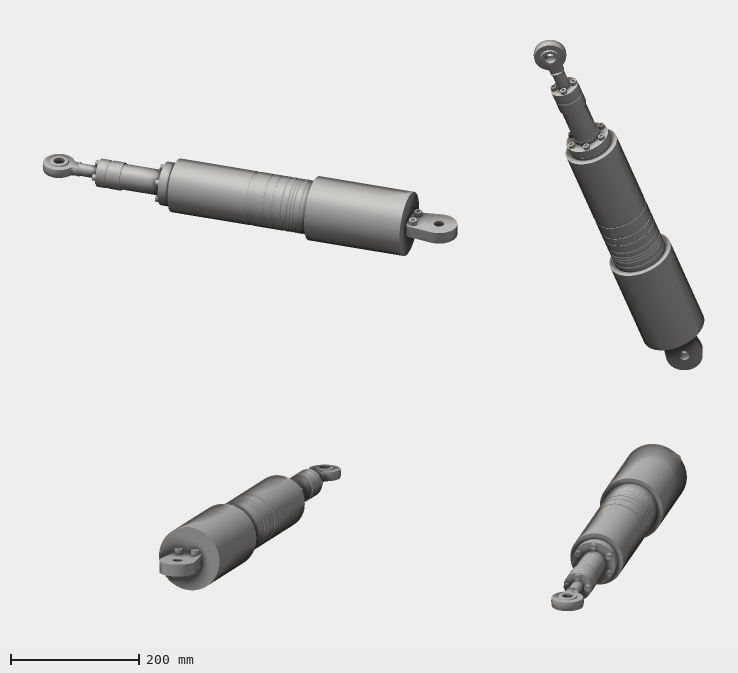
import cadquery as cq
import math


eye_radius = 25.535
eye_thickness = 14.3
neck_radius = 11.4
neck_flats_end = 32.3
neck_fillet = 6.5
neck_end = 34.0
rod_radius = 9.9
rod_tip = 110.0

ball_radius = 17.0
ball_width = 19.05
ball_bore_radius = 9.0

sleeve_front = 66.3
sleeve_end = 105.3
sleeve_radius = 22.225
sleeve_groove_center = 83.8
sleeve_groove_width = 5.0
sleeve_groove_floor = 2.0
tube_radius = 20.2
wiper_front = 164.3
wiper_end = 168.6
wiper_radius = 20.7

flange_front = 172.4
flange_end = 187.4
flange_radius = 34.6
flange_chamfer = 1.2
flange_neck_radius = 33.6

cylinder_front = 191.2
cylinder_radius = 42.5
cover_front = 417.4
cover_end = 573.5
cover_radius = 50.8

groove_depth = 0.7
band_center = 321.6
band_width = 8.0
slot_centers = (347.0, 361.3)
slot_width = 2.2
vee_centers = (376.6, 386.8, 391.9, 397.0, 407.2)
vee_width = 4.1

small_head_radius = 5.0
small_head_height = 6.0
small_socket_flats = 5.0
large_head_radius = 6.3
large_head_height = 8.0
large_socket_flats = 6.0
sleeve_screw_count = 4
sleeve_screw_circle = 16.3
flange_screw_count = 6
flange_screw_circle = 28.5

pin_spacing = 622.3
lug_radius = 28.575
lug_thickness = 19.05
lug_root_half_width = 21.75
lug_corner_radius = 7.3
lug_screw_x = 584.0
lug_screw_y = 13.5
bushing_radius = 14.5
bushing_bore_radius = 8.3


def x_cylinder(start, end, radius):
    """Cylinder on the actuator axis between two X positions."""
    return cq.Workplane("YZ").workplane(offset=start).circle(radius).extrude(end - start)


def cap_screw_head(radius, height, socket_flats):
    """Head standing on the XY plane with a hexagon socket half its height deep."""
    socket_corners = socket_flats / math.cos(math.pi / 6)
    return (
        cq.Workplane("XY").circle(radius).extrude(height)
        .faces(">Z").workplane().polygon(6, socket_corners).cutBlind(-height / 2)
    )


def screw_heads(face_x, circle_radius, count):
    """Small heads standing on a face that looks toward -X, with the first head at the top."""
    head = cap_screw_head(small_head_radius, small_head_height, small_socket_flats)
    first = head.rotate((0, 0, 0), (0, 1, 0), -90).translate((face_x, 0, circle_radius))
    return [first.rotate((0, 0, 0), (1, 0, 0), i * 360 / count) for i in range(count)]


def make_rod():
    """Ball-shaped eye and round neck with two flats, a round collar, and the rod."""
    slab = cq.Workplane("XY").box(2 * neck_flats_end, 2 * eye_radius, eye_thickness)
    blank = cq.Workplane("XY").sphere(eye_radius).union(x_cylinder(0, neck_flats_end, neck_radius))
    junction_x = math.sqrt(eye_radius**2 - neck_radius**2)
    junction_edge = cq.selectors.NearestToPointSelector((junction_x, 0, neck_radius))
    blank = blank.edges(junction_edge).fillet(neck_fillet)
    eye = blank.intersect(slab).cut(cq.Workplane("XY").sphere(ball_radius))
    collar = x_cylinder(neck_flats_end, neck_end, neck_radius)
    shaft = x_cylinder(neck_end, rod_tip, rod_radius)
    return eye.union(collar).union(shaft)


def make_ball():
    """Sphere cut flat at both ends, with a through bore."""
    slab = cq.Workplane("XY").box(2 * ball_radius, 2 * ball_radius, ball_width)
    bore = cq.Workplane("XY").circle(ball_bore_radius).extrude(ball_width, both=True)
    return cq.Workplane("XY").sphere(ball_radius).intersect(slab).cut(bore)


def square_groove(center, width, outer_radius):
    """Ring to cut away for a groove with straight walls."""
    return (
        cq.Workplane("YZ").workplane(offset=center - width / 2)
        .circle(outer_radius).circle(outer_radius - groove_depth).extrude(width)
    )


def tapered_groove(center, width, floor_width, outer_radius):
    """Ring to cut away for a groove with sloping flanks; a zero floor width gives a V."""
    points = [(center - width / 2, outer_radius), (center - floor_width / 2, outer_radius - groove_depth)]
    if floor_width > 0:
        points.append((center + floor_width / 2, outer_radius - groove_depth))
    points.append((center + width / 2, outer_radius))
    return cq.Workplane("XY").polyline(points).close().revolve(360, (0, 0, 0), (1, 0, 0))


def make_body():
    """Sleeve, tube, flange, cylinder and cover as one turned body with its screw heads and rod bore."""
    body = x_cylinder(sleeve_front, sleeve_end, sleeve_radius)
    body = body.union(x_cylinder(sleeve_end, flange_front, tube_radius))
    body = body.union(x_cylinder(wiper_front, wiper_end, wiper_radius))
    flange = x_cylinder(flange_front, flange_end, flange_radius)
    body = body.union(flange.faces(">X").chamfer(flange_chamfer))
    body = body.union(x_cylinder(flange_end, cylinder_front, flange_neck_radius))
    body = body.union(x_cylinder(cylinder_front, cover_front, cylinder_radius))
    body = body.union(x_cylinder(cover_front, cover_end, cover_radius))

    sleeve_groove = tapered_groove(
        sleeve_groove_center, sleeve_groove_width, sleeve_groove_floor, sleeve_radius
    )
    body = body.cut(sleeve_groove)
    body = body.cut(square_groove(band_center, band_width, cylinder_radius))
    for center in slot_centers:
        body = body.cut(square_groove(center, slot_width, cylinder_radius))
    for center in vee_centers:
        body = body.cut(tapered_groove(center, vee_width, 0, cylinder_radius))

    for head in screw_heads(sleeve_front, sleeve_screw_circle, sleeve_screw_count):
        body = body.union(head)
    for head in screw_heads(flange_front, flange_screw_circle, flange_screw_count):
        body = body.union(head)
    return body.cut(x_cylinder(sleeve_front, rod_tip, rod_radius))


def make_lug():
    """Plate tapering from the cover to a round eye, its sides tangent to the eye."""
    root_run = pin_spacing - cover_end
    root_angle = math.atan2(lug_root_half_width, root_run)
    tangent_angle = math.acos(lug_radius / math.hypot(root_run, lug_root_half_width))
    direction = math.pi - root_angle - tangent_angle
    tangent_x = pin_spacing + lug_radius * math.cos(direction)
    tangent_y = lug_radius * math.sin(direction)
    plate = (
        cq.Workplane("XY").workplane(offset=-lug_thickness / 2)
        .moveTo(cover_end, -lug_root_half_width)
        .lineTo(tangent_x, -tangent_y)
        .threePointArc((pin_spacing + lug_radius, 0), (tangent_x, tangent_y))
        .lineTo(cover_end, lug_root_half_width)
        .close().extrude(lug_thickness)
    )
    plate = plate.edges("|Z and <X").fillet(lug_corner_radius)
    bushing_hole = cq.Workplane("XY").center(pin_spacing, 0).circle(bushing_radius)
    lug = plate.cut(bushing_hole.extrude(lug_thickness, both=True))
    head = cap_screw_head(large_head_radius, large_head_height, large_socket_flats)
    for y in (-lug_screw_y, lug_screw_y):
        lug = lug.union(head.translate((lug_screw_x, y, lug_thickness / 2)))
    return lug


def make_bushing():
    """Plain ring, flush with both faces of the lug."""
    return (
        cq.Workplane("XY").workplane(offset=-lug_thickness / 2).center(pin_spacing, 0)
        .circle(bushing_radius).circle(bushing_bore_radius).extrude(lug_thickness)
    )


rod = make_rod()
ball = make_ball()
body = make_body()
lug = make_lug()
bushing = make_bushing()

bodies = (rod, ball, body, lug, bushing)
result = cq.Compound.makeCompound([part.solids().val() for part in bodies])